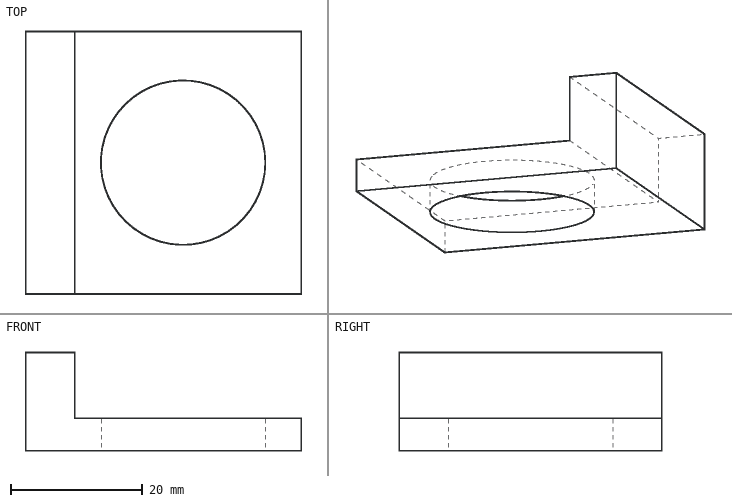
import cadquery as cq

length = 42.0
width = 40.0
wall_height = 15.0
wall_thickness = 7.5
plate_thickness = 5.0
hole_diameter = 25.0
hole_from_wall_face = 24.0


def make_plate():
    """Flat base plate, centred across its width."""
    return cq.Workplane("XY").box(length, width, plate_thickness, centered=(False, True, False))


def make_wall():
    """Upright wall along the low-X edge, running the full width."""
    return cq.Workplane("XY").box(wall_thickness, width, wall_height, centered=(False, True, False))


def make_hole():
    """Round cutter passing through the plate."""
    return (
        cq.Workplane("XY")
        .center(hole_from_wall_face, 0)
        .circle(hole_diameter / 2)
        .extrude(plate_thickness)
    )


result = make_plate().union(make_wall()).cut(make_hole())